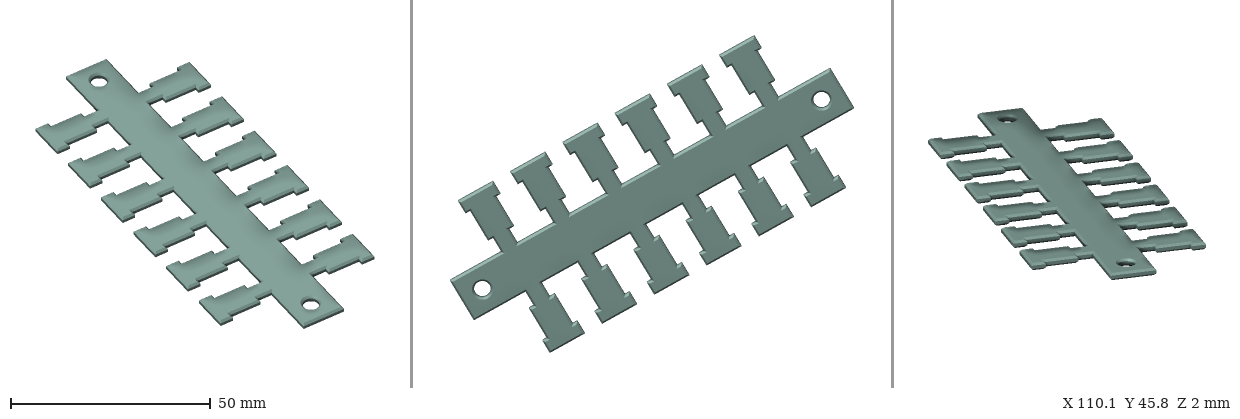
import cadquery as cq

length = 110.1
overall_width = 45.8
thickness = 2.0
bar_width = 12.0
edge_chamfer = 0.5

tab_count = 6
tab_row_span = 75.7
neck_width = 4.6
neck_length = 4.2
body_width = 7.5
head_width = 10.1
head_length = 3.7

hole_diameter = 4.2
hole_end_distance = 6.0

tab_pitch = tab_row_span / (tab_count - 1)
tip_y = overall_width / 2
head_y = tip_y - head_length
body_y = bar_width / 2 + neck_length
hole_x = length / 2 - hole_end_distance


def block(center_x, width_x, width_y):
    """Box of full plate thickness, resting on Z = 0 and centred across Y."""
    return (
        cq.Workplane("XY")
        .center(center_x, 0)
        .rect(width_x, width_y)
        .extrude(thickness)
    )


def tab_pair(center_x):
    """Two opposite tabs, joined across the bar by their common neck."""
    neck = block(center_x, neck_width, 2 * tip_y)
    body = block(center_x, body_width, 2 * head_y).cut(block(center_x, body_width, 2 * body_y))
    head = block(center_x, head_width, 2 * tip_y).cut(block(center_x, head_width, 2 * head_y))
    return neck.union(body).union(head)


plate = block(0, length, bar_width)
for index in range(tab_count):
    plate = plate.union(tab_pair(index * tab_pitch - tab_row_span / 2))
plate = plate.clean()

plate = plate.faces(">Z").workplane(origin=(0, 0, 0))
plate = plate.pushPoints([(-hole_x, 0), (hole_x, 0)]).hole(hole_diameter)

result = plate.faces("<Z or >Z").edges().chamfer(edge_chamfer)